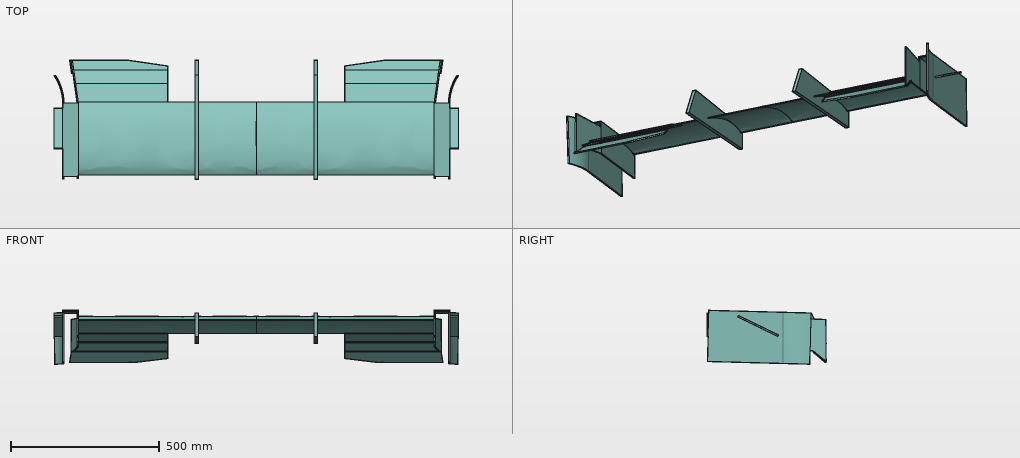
import cadquery as cq
import math


HALF_SPAN = 683.0
FRONT_Y = -201.0
REAR_Y = -FRONT_Y
TOOL_HEIGHT = 547.0

SHEET = 4.0
PLANE_TIP_X = -600.0
LEADING_EDGE = (-187.0, 60.0)
CREST = (-134.0, 71.0)
MID_CHORD = (-40.0, 56.0)
TRAILING_EDGE = (60.0, 16.0)
LEADING_ANGLE = 36.0
TRAILING_ANGLE = -28.0

RIB_X = -201.0
RIB_WIDTH = 12.0
RIB_TOP_Z = 82.0
RIB_TOP_REAR_Y = 150.0
RIB_FRONT_BOTTOM_Z = 3.0
RIB_REAR_BOTTOM_Z = -20.0

LEAN = 1.5
PLATE = 4.8
OUTER_PLATE_X = -653.0
PLATE_FRONT = -198.0
PLATE_REAR = 55.0
PLATE_TOP = 86.0
OUTER_PLATE_BOTTOM = -87.0
INNER_PLATE_BOTTOM = -31.0
CAP_FRONT = -194.0
INNER_PLATE_X = PLANE_TIP_X - PLATE

FLARE_REAR = 148.0
FLARE_OUTSET = HALF_SPAN + OUTER_PLATE_X

FIN_REAR = 198.0
FIN_TOP = 65.0
FIN_SWEEP = 8.0

STRAKE_HIGH = (-97.0, 71.0)
STRAKE_LOW = (38.0, 5.0)
STRAKE_THICKNESS = 5.0

FLAP_INNER_X = -298.0
UPPER_FLAP = dict(leading=(49.0, 15.0), run=74.0, angle=19.9)
MIDDLE_FLAP = dict(leading=(116.0, -15.0), run=52.0, angle=29.5)
LOWER_FLAP = dict(leading=(158.0, -47.1), run=42.0, angle=39.9)
LOWER_FLAP_OVERHANG = 4.8
CORNER_CUT_X = -430.0
CORNER_CUT_Y = 182.0


def leaned(along, up):
    """Y, Z of a point given along and up the leaning endplate."""
    lean = math.radians(LEAN)
    return (
        along * math.cos(lean) + up * math.sin(lean),
        up * math.cos(lean) - along * math.sin(lean),
    )


def side_prism(points, x_start, x_end):
    """Extrude a Y-Z outline from x_start to x_end."""
    return cq.Workplane("YZ", origin=(x_start, 0, 0)).polyline(points).close().extrude(x_end - x_start)


def plan_prism(outline):
    """Turn a closed X-Y outline into a tall upright prism."""
    return outline.extrude(TOOL_HEIGHT / 2, both=True)


BEND_Y = leaned(PLATE_REAR, 0)[0]


def fin_x(y, outset=0.0):
    """X of the swept line that lies outset beyond the fin's outer face."""
    return INNER_PLATE_X - outset - (y - BEND_Y) * math.tan(math.radians(FIN_SWEEP))


def main_plane():
    """Half plane from the tip to the middle of the span."""

    def direction(angle):
        return (math.cos(math.radians(angle)), math.sin(math.radians(angle)))

    def reverse(vector):
        return (-vector[0], -vector[1])

    upper = [LEADING_EDGE, CREST, MID_CHORD, TRAILING_EDGE]
    lower = [(y, z - SHEET) for y, z in reversed(upper)]
    nose = direction(LEADING_ANGLE)
    tail = direction(TRAILING_ANGLE)
    return (
        cq.Workplane("YZ", origin=(PLANE_TIP_X, 0, 0))
        .moveTo(*upper[0])
        .spline(upper[1:], tangents=[nose, tail], includeCurrent=True)
        .lineTo(*lower[0])
        .spline(lower[1:], tangents=[reverse(tail), reverse(nose)], includeCurrent=True)
        .close()
        .extrude(-PLANE_TIP_X)
    )


def rib():
    """Upright rib, flat on top and raked at the rear."""
    outline = [
        (FRONT_Y, RIB_TOP_Z),
        (RIB_TOP_REAR_Y, RIB_TOP_Z),
        (REAR_Y, RIB_REAR_BOTTOM_Z),
        (FRONT_Y, RIB_FRONT_BOTTOM_Z),
    ]
    return side_prism(outline, RIB_X - RIB_WIDTH / 2, RIB_X + RIB_WIDTH / 2)


def wing_half():
    """Half of the main plane with its rib, one piece."""
    return main_plane().union(rib())


def flap_points(leading, run, angle):
    """Upper leading, upper trailing, lower trailing and lower leading corners."""
    slope = math.radians(angle)
    drop = run * math.tan(slope)
    upper = [leading, (leading[0] + run, leading[1] - drop)]
    shift_y = -SHEET * math.sin(slope)
    shift_z = -SHEET * math.cos(slope)
    lower = [(y + shift_y, z + shift_z) for y, z in reversed(upper)]
    return upper + lower


def outer_plate():
    """Outer plate whose rear part curves outward in plan."""
    side_outline = [
        leaned(PLATE_FRONT, PLATE_TOP),
        leaned(FLARE_REAR, PLATE_TOP),
        leaned(FLARE_REAR, OUTER_PLATE_BOTTOM),
        leaned(PLATE_FRONT, OUTER_PLATE_BOTTOM),
    ]
    flare_length = side_outline[1][0] - BEND_Y
    radius = (flare_length**2 + FLARE_OUTSET**2) / (2 * FLARE_OUTSET)
    sweep = math.asin(flare_length / radius)

    def flare_point(offset, angle):
        reach = radius + offset
        return (OUTER_PLATE_X - radius + reach * math.cos(angle), BEND_Y + reach * math.sin(angle))

    plan = plan_prism(
        cq.Workplane("XY")
        .moveTo(OUTER_PLATE_X, -TOOL_HEIGHT)
        .lineTo(OUTER_PLATE_X, BEND_Y)
        .threePointArc(flare_point(0, sweep / 2), flare_point(0, sweep))
        .lineTo(*flare_point(PLATE, sweep))
        .threePointArc(flare_point(PLATE, sweep / 2), flare_point(PLATE, 0))
        .lineTo(OUTER_PLATE_X + PLATE, -TOOL_HEIGHT)
        .close()
    )
    return side_prism(side_outline, -HALF_SPAN, OUTER_PLATE_X + PLATE).intersect(plan)


def inner_plate():
    """Flat plate closing the tip of the main plane."""
    outline = [
        leaned(PLATE_FRONT, PLATE_TOP),
        leaned(PLATE_REAR, PLATE_TOP),
        leaned(PLATE_REAR, INNER_PLATE_BOTTOM),
        leaned(PLATE_FRONT, INNER_PLATE_BOTTOM),
    ]
    return side_prism(outline, INNER_PLATE_X, PLANE_TIP_X)


def cap():
    """Cap bridging the tops of the two plates."""
    outline = [
        leaned(CAP_FRONT, PLATE_TOP),
        leaned(PLATE_REAR, PLATE_TOP),
        leaned(PLATE_REAR, PLATE_TOP - PLATE),
        leaned(CAP_FRONT, PLATE_TOP - PLATE),
    ]
    return side_prism(outline, OUTER_PLATE_X, PLANE_TIP_X)


def fin():
    """Swept fin behind the inner plate, standing on the lower flap."""
    flap_leading, flap_trailing = flap_points(**LOWER_FLAP)[:2]
    outline = [
        leaned(PLATE_REAR, FIN_TOP),
        leaned(FIN_REAR, FIN_TOP),
        flap_trailing,
        flap_leading,
        leaned(PLATE_REAR, INNER_PLATE_BOTTOM),
    ]
    plan = plan_prism(
        cq.Workplane("XY")
        .moveTo(fin_x(BEND_Y), BEND_Y)
        .lineTo(fin_x(REAR_Y), REAR_Y)
        .lineTo(fin_x(REAR_Y) + PLATE, REAR_Y)
        .lineTo(fin_x(BEND_Y) + PLATE, BEND_Y)
        .close()
    )
    return side_prism(outline, -HALF_SPAN, PLANE_TIP_X).intersect(plan)


def strake():
    """Sloping blade on the outer plate."""
    length = math.dist(STRAKE_HIGH, STRAKE_LOW)
    angle = math.degrees(math.atan2(STRAKE_LOW[1] - STRAKE_HIGH[1], STRAKE_LOW[0] - STRAKE_HIGH[0]))
    middle_y = (STRAKE_HIGH[0] + STRAKE_LOW[0]) / 2
    middle_z = (STRAKE_HIGH[1] + STRAKE_LOW[1]) / 2
    return (
        cq.Workplane("YZ", origin=(-HALF_SPAN, 0, 0))
        .center(middle_y, middle_z)
        .transformed(rotate=(0, 0, angle))
        .rect(length, STRAKE_THICKNESS)
        .extrude(FLARE_OUTSET)
    )


def endplate():
    """Plates, cap, fin and strake, one piece."""
    return outer_plate().union(inner_plate()).union(cap()).union(fin()).union(strake())


def flap(shape, outset):
    """Flap whose outer end follows a line parallel to the fin."""
    sheet = side_prism(flap_points(**shape), -HALF_SPAN, FLAP_INNER_X)
    plan = plan_prism(
        cq.Workplane("XY")
        .moveTo(FLAP_INNER_X, 0)
        .lineTo(PLANE_TIP_X, 0)
        .lineTo(fin_x(BEND_Y, outset), BEND_Y)
        .lineTo(fin_x(REAR_Y, outset), REAR_Y)
        .lineTo(CORNER_CUT_X, REAR_Y)
        .lineTo(FLAP_INNER_X, CORNER_CUT_Y)
        .close()
    )
    return sheet.intersect(plan).cut(endplate())


left_bodies = [
    wing_half(),
    endplate(),
    flap(UPPER_FLAP, -PLATE),
    flap(MIDDLE_FLAP, -PLATE),
    flap(LOWER_FLAP, LOWER_FLAP_OVERHANG),
]

bodies = []
for body in left_bodies:
    bodies.append(body.solids().val())
    bodies.append(body.mirror("YZ").solids().val())

result = cq.Compound.makeCompound(bodies)